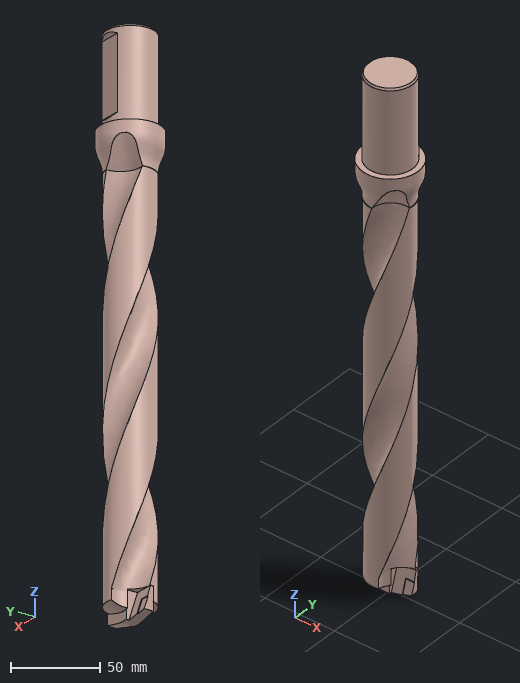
import cadquery as cq
import math

total_length = 359.0

shank_diameter = 31.99
shank_length = 59.7
shank_chamfer_width = 0.8
shank_chamfer_height = 1.4
collar_diameter = 40.0
collar_band_height = 8.0
collar_taper_height = 16.0
neck_height = 2.1

shank_bottom = total_length - shank_length
collar_band_bottom = shank_bottom - collar_band_height
taper_bottom = collar_band_bottom - collar_taper_height
neck_bottom = taper_bottom - neck_height

flat_distance = 13.9
flat_bottom_gap = 4.5
flat_top_gap = 3.2

body_radius = 15.7
body_tip_height = 5.9
body_corner_height = 11.0

flute_count = 2
flute_lead = 267.0
flute_half_angle = math.radians(42)
flute_floor_radius = 6.5
flute_on_x_height = 43.4
flute_straight_height = 18.0
runout_turn = 16.0
runout_outward = 13.7
runout_rise = 18.0

edge_x = body_radius * math.cos(flute_half_angle)
edge_y = body_radius * math.sin(flute_half_angle)
flute_depth_at_edge = edge_x - flute_floor_radius
flute_radius = (edge_y**2 + flute_depth_at_edge**2) / (2 * flute_depth_at_edge)
flute_center_radius = flute_floor_radius + flute_radius

insert_diameter = 33.4
insert_thickness = 9.8
insert_top = 19.6
insert_corner_height = 4.2
point_radius = 3.0
point_height = 1.0
rake_start_x = 3.3
rake_top_y = 2.7
rake_bottom_y = -3.6
step_start_x = 10.7
step_height = 12.5
step_depth = 0.5

insert_radius = insert_diameter / 2


def flute_angle(height):
    """Direction of the first flute, in degrees from +X, at a height on the drill."""
    return 360 * (height - flute_on_x_height) / flute_lead


def flute_circle(height):
    """Horizontal section of the first flute at a height."""
    direction = math.radians(flute_angle(height))
    center = cq.Vector(
        flute_center_radius * math.cos(direction),
        flute_center_radius * math.sin(direction),
        height,
    )
    return cq.Wire.makeCircle(flute_radius, center, cq.Vector(0, 0, 1))


def around_axis(cutter):
    """Copies of a cutter, one for each flute."""
    return [
        cutter.rotate(cq.Vector(0, 0, 0), cq.Vector(0, 0, 1), 360 * number / flute_count)
        for number in range(flute_count)
    ]


def flute_cutters():
    """Straight bottom stretch, helical stretch and inclined runout of the first flute."""
    straight = cq.Solid.extrudeLinear(
        flute_circle(flute_straight_height), [], cq.Vector(0, 0, -flute_straight_height)
    )
    helix_height = neck_bottom - flute_straight_height
    helix = cq.Solid.extrudeLinearWithRotation(
        flute_circle(flute_straight_height),
        [],
        cq.Vector(0, 0, flute_straight_height),
        cq.Vector(0, 0, helix_height),
        360 * helix_height / flute_lead,
    )
    runout_direction = math.radians(flute_angle(neck_bottom) + runout_turn)
    runout = cq.Solid.extrudeLinear(
        flute_circle(neck_bottom),
        [],
        cq.Vector(
            runout_outward * math.cos(runout_direction),
            runout_outward * math.sin(runout_direction),
            runout_rise,
        ),
    )
    return [straight, helix, runout]


def insert_blank():
    """Flat blade across the axis, from the point up to the bottom of its seat."""
    return cq.Workplane("XY").box(
        collar_diameter, insert_thickness, insert_top, centered=(True, True, False)
    )


def make_holder():
    shank_radius = shank_diameter / 2
    collar_radius = collar_diameter / 2
    holder = (
        cq.Workplane("XZ")
        .moveTo(0, body_tip_height)
        .lineTo(body_radius, body_corner_height)
        .lineTo(body_radius, neck_bottom)
        .lineTo(shank_radius, neck_bottom)
        .lineTo(shank_radius, taper_bottom)
        .spline(
            [(collar_radius, collar_band_bottom)],
            tangents=[(0, 1), (0, 1)],
            includeCurrent=True,
        )
        .lineTo(collar_radius, shank_bottom)
        .lineTo(shank_radius, shank_bottom)
        .lineTo(shank_radius, total_length - shank_chamfer_height)
        .lineTo(shank_radius - shank_chamfer_width, total_length)
        .lineTo(0, total_length)
        .close()
        .revolve(360, (0, 0, 0), (0, 1, 0))
    )

    flat_depth = shank_radius - flat_distance
    flat_bottom = shank_bottom + flat_bottom_gap
    flat_top = total_length - flat_top_gap
    flat = (
        cq.Workplane("YZ")
        .moveTo(shank_radius, flat_bottom)
        .lineTo(flat_distance, flat_bottom + flat_depth)
        .lineTo(flat_distance, flat_top - flat_depth)
        .lineTo(shank_radius, flat_top)
        .close()
        .extrude(shank_radius, both=True)
    )
    holder = holder.cut(flat)

    for cutter in flute_cutters():
        for copy in around_axis(cutter):
            holder = holder.cut(cq.Workplane(copy))

    return holder.cut(insert_blank())


def rake_cutter(start_x, end_height, offset):
    """Wedge that leaves the sloping rake face on the +X half of the insert."""
    slope = (rake_top_y - rake_bottom_y) / insert_top
    outside_y = -insert_thickness
    return (
        cq.Workplane("YZ", origin=(start_x, 0, 0))
        .moveTo(outside_y, 0)
        .lineTo(rake_bottom_y + offset, 0)
        .lineTo(rake_bottom_y + offset + slope * end_height, end_height)
        .lineTo(outside_y, end_height)
        .close()
        .extrude(insert_diameter)
        .val()
    )


def make_insert():
    envelope = (
        cq.Workplane("XZ")
        .moveTo(0, 0)
        .lineTo(point_radius, point_height)
        .lineTo(insert_radius, insert_corner_height)
        .lineTo(insert_radius, insert_top)
        .lineTo(0, insert_top)
        .close()
        .revolve(360, (0, 0, 0), (0, 1, 0))
    )
    insert = envelope.intersect(insert_blank())

    rake = rake_cutter(rake_start_x, insert_top, 0)
    step = rake_cutter(step_start_x, step_height, step_depth)
    for cutter in (rake, step):
        for copy in around_axis(cutter):
            insert = insert.cut(cq.Workplane(copy))
    return insert


holder = make_holder()
insert = make_insert()
result = cq.Compound.makeCompound([holder.val(), insert.val()])